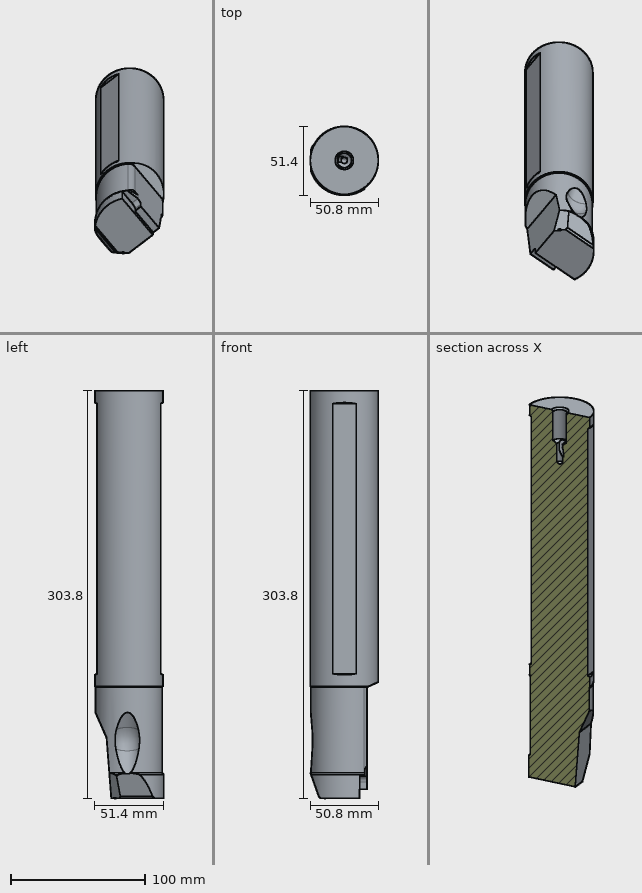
import cadquery as cq
import math

TOTAL_LENGTH = 303.8
FAR = 100.0

SHANK_RADIUS = 25.4
SHANK_BOTTOM = 83.2
SHANK_EDGE = 0.8
FLAT_OFFSET = 23.85
FLAT_BOTTOM = 93.2
FLAT_TOP = 294.1
FLAT_END_RUN = 0.9

NECK_RADIUS = 25.0
HEAD_RADIUS = 26.0
HEAD_BOTTOM = 0.4
HEAD_TOP = 19.4
SHOULDER_HEIGHT = 1.3
SHOULDER_WIDTH = HEAD_RADIUS - NECK_RADIUS

SIDE_FLAT_X = 17.1
SIDE_FLAT_TOP = SHANK_BOTTOM
SIDE_RUNOUT_TOP = 87.0
SIDE_BLEND_RADIUS = 6.0
SIDE_BLEND_Z = (HEAD_BOTTOM + SHANK_BOTTOM) / 2

FLUTE_FOOT_Y = 13.2
FLUTE_KNEE_Y = 16.7
FLUTE_KNEE_Z = 45.6
FLUTE_TOP_Z = 64.5

SCOOP_RADIUS = 10.3
SCOOP_Y = 1.4
SCOOP_DEPTH = 7.3
SCOOP_CENTER_Z = 43.6
SCOOP_UPPER_ANGLE = 25.0
SCOOP_LOWER_ANGLE = 19.0
SCOOP_BEND_RADIUS = 13.0
SCOOP_REACH = 45.0

SLANT_FOOT_X = -18.5
SLANT_TOP_X = -25.6
SLANT_TOP_Z = 20.5
FOOT_BEVEL = 1.6
CORNER_TOP_Y = 9.6
CORNER_FOOT_Y = 6.1

RECESS_X = 11.5
RECESS_FACE_Y = -8.0
RECESS_TOP = 17.0
RECESS_ROOF_RADIUS = 4.0
RECESS_FOOT = 7.1

BEVEL_X = 15.2
BEVEL_BACK_Y = -12.0
BEVEL_LOW_Z = 22.0
BEVEL_HIGH_Z = 25.0

TIP_X = -14.3
TIP_Y = 10.2
TIP_RADIUS = 0.5

BORE_RADIUS = 5.4
BORE_MOUTH_RADIUS = 6.8
BORE_DEPTH = 25.0
DRILL_HALF_ANGLE = 59.0
CHANNEL_RADIUS = 2.3
CHANNEL_DEPTH = 15.0
BRANCH_DEPTH = 12.0
BRANCH_X = -3.0
BRANCH_Y = 0.8
BRANCH_ANGLE = 15.0


def chord(radius, offset):
    """Half width of a circle at a given distance from its centre."""
    return math.sqrt(radius**2 - offset**2)


def make_shank():
    """Cylindrical shank with a small chamfer around its lower end."""
    shank = cq.Workplane("XY", origin=(0, 0, SHANK_BOTTOM)).circle(SHANK_RADIUS)
    shank = shank.extrude(TOTAL_LENGTH - SHANK_BOTTOM)
    return shank.faces("<Z").chamfer(SHANK_EDGE)


def make_neck():
    """Round neck with a side flat that blends softly into the round."""
    neck = cq.Workplane("XY", origin=(0, 0, HEAD_BOTTOM)).circle(NECK_RADIUS)
    neck = neck.extrude(SHANK_BOTTOM - HEAD_BOTTOM).cut(make_side_flat())
    flat_edge_y = -chord(NECK_RADIUS, SIDE_FLAT_X)
    blend_edge = cq.selectors.NearestToPointSelector((SIDE_FLAT_X, flat_edge_y, SIDE_BLEND_Z))
    return neck.edges(blend_edge).fillet(SIDE_BLEND_RADIUS)


def make_head():
    """Wider head with a sloping shoulder up to the neck."""
    head = cq.Workplane("XY", origin=(0, 0, HEAD_BOTTOM)).circle(HEAD_RADIUS)
    head = head.extrude(HEAD_TOP - HEAD_BOTTOM - SHOULDER_HEIGHT).faces(">Z").workplane()
    shoulder_angle = math.degrees(math.atan2(SHOULDER_WIDTH, SHOULDER_HEIGHT))
    return head.circle(HEAD_RADIUS).extrude(SHOULDER_HEIGHT, taper=shoulder_angle)


def prism_along_x(points, x_start, x_end):
    """Prism with a (y, z) outline between two x positions."""
    outline = cq.Workplane("YZ", origin=(x_start, 0, 0)).polyline(points).close()
    return outline.extrude(x_end - x_start)


def prism_along_y(points):
    """Long prism with an (x, z) outline, centred on y = 0."""
    return cq.Workplane("XZ").polyline(points).close().extrude(FAR, both=True)


def make_shank_flat(side):
    """Clamping flat on the +Y or -Y side with sloping ends."""
    points = [
        (side * FLAT_OFFSET, FLAT_BOTTOM),
        (side * FLAT_OFFSET, FLAT_TOP),
        (side * SHANK_RADIUS, FLAT_TOP + FLAT_END_RUN),
        (side * SHANK_RADIUS, FLAT_BOTTOM - FLAT_END_RUN),
    ]
    return prism_along_x(points, -SHANK_RADIUS, SHANK_RADIUS)


def make_side_flat():
    """Material removed from the +X side of the neck and head."""
    return prism_along_y([
        (SIDE_FLAT_X, -FAR),
        (SIDE_FLAT_X, SIDE_FLAT_TOP),
        (SHANK_RADIUS, SIDE_RUNOUT_TOP),
        (FAR, SIDE_RUNOUT_TOP),
        (FAR, -FAR),
    ])


def make_flute():
    """Chip flute on the +Y side, steeper above its knee."""
    points = [
        (FLUTE_FOOT_Y, HEAD_BOTTOM),
        (FLUTE_KNEE_Y, FLUTE_KNEE_Z),
        (NECK_RADIUS, FLUTE_TOP_Z),
        (FAR, FLUTE_TOP_Z),
        (FAR, HEAD_BOTTOM),
    ]
    return prism_along_x(points, -FAR, FAR)


def make_scoop():
    """Round cutter swept along a bent path into the -X side."""
    upper = math.radians(SCOOP_UPPER_ANGLE)
    lower = math.radians(SCOOP_LOWER_ANGLE)
    deepest_x = -NECK_RADIUS + SCOOP_DEPTH - SCOOP_RADIUS
    bend_x = deepest_x - SCOOP_BEND_RADIUS

    def bend_point(angle):
        return (
            bend_x + SCOOP_BEND_RADIUS * math.cos(angle),
            SCOOP_CENTER_Z + SCOOP_BEND_RADIUS * math.sin(angle),
        )

    bend_top = bend_point(upper)
    bend_foot = bend_point(-lower)
    start = (
        bend_top[0] - SCOOP_REACH * math.sin(upper),
        bend_top[1] + SCOOP_REACH * math.cos(upper),
    )
    end = (
        bend_foot[0] - SCOOP_REACH * math.sin(lower),
        bend_foot[1] - SCOOP_REACH * math.cos(lower),
    )
    path = (
        cq.Workplane("XZ", origin=(0, SCOOP_Y, 0))
        .moveTo(*start)
        .lineTo(*bend_top)
        .threePointArc(bend_point(0), bend_foot)
        .lineTo(*end)
    )
    start_plane = cq.Plane(
        origin=(start[0], SCOOP_Y, start[1]),
        xDir=(0, 1, 0),
        normal=(math.sin(upper), 0, -math.cos(upper)),
    )
    return cq.Workplane(start_plane).circle(SCOOP_RADIUS).sweep(path)


def slant_x(z):
    """X position of the slanted -X face of the head at height z."""
    slope = (SLANT_TOP_X - SLANT_FOOT_X) / (SLANT_TOP_Z - HEAD_BOTTOM)
    return SLANT_FOOT_X + slope * (z - HEAD_BOTTOM)


def make_slant():
    """Slanted cut on the -X side of the head, with a bevel at its foot."""
    bevel_top = HEAD_BOTTOM + FOOT_BEVEL
    return prism_along_y([
        (slant_x(bevel_top) + FOOT_BEVEL, HEAD_BOTTOM),
        (slant_x(bevel_top), bevel_top),
        (SLANT_TOP_X, SLANT_TOP_Z),
        (-FAR, SLANT_TOP_Z),
        (-FAR, HEAD_BOTTOM),
    ])


def make_corner_cut():
    """Slanted cut at 45 degrees across the -X, +Y corner of the head."""
    foot = cq.Vector(slant_x(HEAD_BOTTOM), CORNER_FOOT_Y, HEAD_BOTTOM)
    top = cq.Vector(slant_x(HEAD_TOP), CORNER_TOP_Y, HEAD_TOP)
    level = cq.Vector(1, 1, 0)
    outward = level.cross(top - foot)
    corner_plane = cq.Plane(origin=foot, xDir=level, normal=outward)
    below_neck = cq.Workplane("XY").rect(2 * FAR, 2 * FAR).extrude(HEAD_TOP)
    return cq.Workplane(corner_plane).rect(FAR, FAR).extrude(-FAR).intersect(below_neck)


def make_recess():
    """Recess on the +X side of the head with a rounded roof."""
    recess = (
        cq.Workplane("YZ", origin=(RECESS_X, 0, 0))
        .moveTo(-FAR, HEAD_BOTTOM)
        .lineTo(RECESS_FACE_Y, HEAD_BOTTOM)
        .lineTo(RECESS_FACE_Y, RECESS_TOP - RECESS_ROOF_RADIUS)
        .radiusArc((RECESS_FACE_Y - RECESS_ROOF_RADIUS, RECESS_TOP), -RECESS_ROOF_RADIUS)
        .lineTo(-FAR, RECESS_TOP)
        .close()
        .extrude(FAR)
    )
    foot = (
        cq.Workplane("XY", origin=(RECESS_X, 0, HEAD_BOTTOM))
        .rect(FAR, 2 * FAR)
        .extrude(RECESS_FOOT - HEAD_BOTTOM)
        .translate((FAR / 2, 0, 0))
    )
    return recess.union(foot)


def make_bevel():
    """Steep bevel on the neck edge above the recess, under a slanted roof."""
    edge_y = -chord(NECK_RADIUS, BEVEL_X)
    outline = [(BEVEL_X, edge_y), (SIDE_FLAT_X, BEVEL_BACK_Y), (SIDE_FLAT_X, -FAR), (BEVEL_X, -FAR)]
    bevel = cq.Workplane("XY").polyline(outline).close().extrude(FAR)
    roof = prism_along_y([
        (BEVEL_X, RECESS_TOP),
        (BEVEL_X, BEVEL_LOW_Z),
        (SIDE_FLAT_X, BEVEL_HIGH_Z),
        (SIDE_FLAT_X, RECESS_TOP),
    ])
    return bevel.intersect(roof)


def make_tip():
    """Small conical insert tip under the head, slightly let into it."""
    return cq.Workplane(cq.Solid.makeCone(
        0, 2 * TIP_RADIUS, 2 * HEAD_BOTTOM, cq.Vector(TIP_X, TIP_Y, 0),
    ))


def make_coolant_bore():
    """Countersunk drilled bore with a central channel and a slanted branch."""
    drill_slope = math.tan(math.radians(DRILL_HALF_ANGLE))
    bore_bottom = TOTAL_LENGTH - BORE_DEPTH
    cone_foot = bore_bottom - (BORE_RADIUS - CHANNEL_RADIUS) / drill_slope
    channel_bottom = cone_foot - CHANNEL_DEPTH
    profile = [
        (0, TOTAL_LENGTH),
        (BORE_MOUTH_RADIUS, TOTAL_LENGTH),
        (BORE_RADIUS, TOTAL_LENGTH - (BORE_MOUTH_RADIUS - BORE_RADIUS)),
        (BORE_RADIUS, bore_bottom),
        (CHANNEL_RADIUS, cone_foot),
        (CHANNEL_RADIUS, channel_bottom),
        (0, channel_bottom - CHANNEL_RADIUS / drill_slope),
    ]
    bore = cq.Workplane("XZ").polyline(profile).close().revolve(360, (0, 0), (0, 1))
    angle = math.radians(BRANCH_ANGLE)
    branch_plane = cq.Plane(
        origin=(BRANCH_X, BRANCH_Y, bore_bottom),
        xDir=(0, 1, 0),
        normal=(math.sin(angle), 0, -math.cos(angle)),
    )
    branch = cq.Workplane(branch_plane).circle(CHANNEL_RADIUS).extrude(BRANCH_DEPTH)
    return bore.union(branch)


result = make_shank().union(make_neck()).union(make_head())
for side in (-1, 1):
    result = result.cut(make_shank_flat(side))
for cutter in (
    make_side_flat(),
    make_flute(),
    make_scoop(),
    make_slant(),
    make_corner_cut(),
    make_recess(),
    make_bevel(),
    make_coolant_bore(),
):
    result = result.cut(cutter)
result = result.union(make_tip())